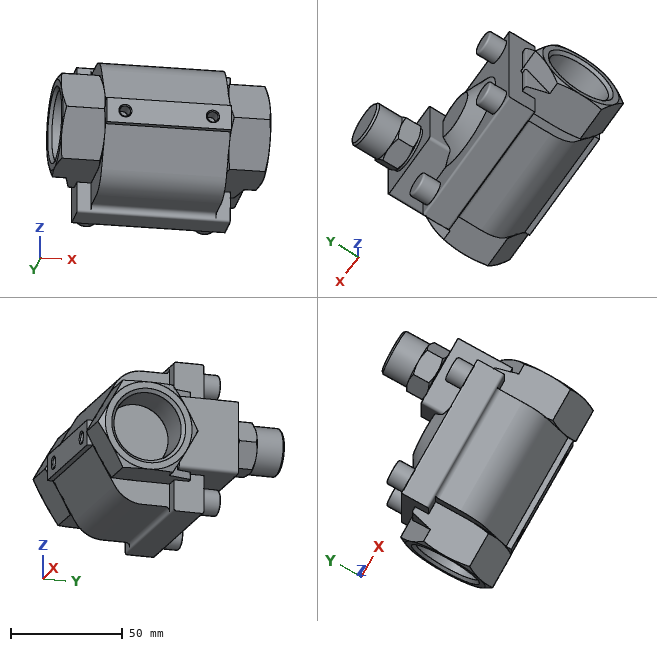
import cadquery as cq
import math

LENGTH = 95.0
CENTRE_X = 0.6

HEX_FLATS = 41.0
HEX_CHAMFER = 1.1

BODY_LENGTH = 57.0
BODY_HALF_HEIGHT = 31.35
BODY_ROUND = 15.0
BODY_FILLET = 2.0

PAD_WIDTH = 11.7
PAD_Y = -23.0
PAD_HOLE_SPACING = 40.0
PAD_HOLE_DIAMETER = 4.9
PAD_HOLE_MOUTH = 6.0
PAD_HOLE_DEPTH = 7.6
DRILL_POINT_ANGLE = 118.0

FLANGE_SIZE = 70.0
FLANGE_Y = 16.0
FLANGE_THICKNESS = 14.1
FLANGE_ROUND = 1.0

NECK_LENGTH = 75.6
NECK_TOP_Y = 22.9
NECK_SLOPE = 15.0
NECK_ROUND = 1.0

BORE_DIAMETER = 31.8
BORE_END_DIAMETER = 30.6
BORE_MOUTH_DIAMETER = 35.0
BORE_DEPTH = 18.6

BOLT_DIAMETER = 12.0
BOLT_SPACING = 54.0
BOLT_HEIGHT = 8.8
BOLT_ROUND = 0.95

DOME_TOP_RADIUS = 11.9
DOME_HEIGHT = 6.9
DOME_SLOPE = 30.0

BLOCK_SIZE = 34.2
BLOCK_X = 25.9
BLOCK_TOP_Y = 44.0
BLOCK_ROUND = 1.5

PORT_DIAMETER = 22.0
COLLAR_HEIGHT = 1.0
NUT_FLATS = 22.0
NUT_HEIGHT = 9.9
NUT_CHAMFER_ANGLE = 30.0
PORT_TOP_Y = 68.0
PORT_CHAMFER = 0.95

HEX_HALF_ANGLE = math.radians(30)
HEX_RADIUS = HEX_FLATS / 2
HEX_CORNER = HEX_RADIUS / math.cos(HEX_HALF_ANGLE)
BODY_START = CENTRE_X - BODY_LENGTH / 2
BODY_END = CENTRE_X + BODY_LENGTH / 2
FLANGE_TOP_Y = FLANGE_Y + FLANGE_THICKNESS


def round_bar(diameter, x, z, y_start, y_end):
    """Cylinder along +Y."""
    plane = cq.Plane(origin=(x, y_start, z), xDir=(1, 0, 0), normal=(0, 1, 0))
    return cq.Workplane(plane).circle(diameter / 2).extrude(y_end - y_start)


def chamfered_hexagon(flats, length, chamfer):
    """Hexagonal bar along +Z from Z = 0, corners on the X axis, both ends turned to a cone."""
    corner = flats / 2 / math.cos(HEX_HALF_ANGLE)
    bar = cq.Workplane("XY").polygon(6, 2 * corner).extrude(length)
    turned_envelope = (
        cq.Workplane("XZ")
        .polyline([
            (0, 0),
            (flats / 2, 0),
            (corner, chamfer),
            (corner, length - chamfer),
            (flats / 2, length),
            (0, length),
        ])
        .close()
        .revolve(360, (0, 0, 0), (0, 1, 0))
    )
    return bar.intersect(turned_envelope)


def pipe_end(x_start, x_end):
    """Hexagon along X with two flats facing +Z and -Z."""
    hexagon = chamfered_hexagon(HEX_FLATS, x_end - x_start, HEX_CHAMFER)
    return (
        hexagon.rotate((0, 0, 0), (0, 0, 1), 90)
        .rotate((0, 0, 0), (0, 1, 0), 90)
        .translate((x_start, 0, 0))
    )


def body():
    """Body section in YZ: slanted flats in line with the hexagons, blended to top and bottom."""
    normal_y = -math.cos(HEX_HALF_ANGLE)
    normal_z = math.sin(HEX_HALF_ANGLE)

    def flat_y(z):
        return (HEX_RADIUS - normal_z * z) / normal_y

    arc_z = BODY_HALF_HEIGHT - BODY_ROUND
    slant_end_z = arc_z + BODY_ROUND * normal_z
    slant_end_y = flat_y(slant_end_z)
    arc_y = slant_end_y - BODY_ROUND * normal_y
    mid_angle = math.radians(120)
    arc_mid = (arc_y + BODY_ROUND * math.cos(mid_angle), arc_z + BODY_ROUND * math.sin(mid_angle))
    fillet_y = FLANGE_Y - BODY_FILLET
    fillet_z = BODY_HALF_HEIGHT + BODY_FILLET
    fillet_reach = BODY_FILLET * math.sqrt(0.5)
    half = (
        cq.Workplane("YZ", origin=(BODY_START, 0, 0))
        .moveTo(FLANGE_Y, 0)
        .lineTo(FLANGE_Y, fillet_z)
        .threePointArc(
            (fillet_y + fillet_reach, fillet_z - fillet_reach),
            (fillet_y, BODY_HALF_HEIGHT),
        )
        .lineTo(arc_y, BODY_HALF_HEIGHT)
        .threePointArc(arc_mid, (slant_end_y, slant_end_z))
        .lineTo(flat_y(PAD_WIDTH / 2), PAD_WIDTH / 2)
        .lineTo(PAD_Y, PAD_WIDTH / 2)
        .lineTo(PAD_Y, 0)
        .close()
        .extrude(BODY_LENGTH)
    )
    return half.union(half.mirror("XY"))


def flange():
    return (
        cq.Workplane("XY")
        .box(FLANGE_SIZE, FLANGE_THICKNESS, FLANGE_SIZE)
        .edges("|X")
        .fillet(FLANGE_ROUND)
        .translate((CENTRE_X, FLANGE_Y + FLANGE_THICKNESS / 2, 0))
    )


def neck():
    """Web with sloping ends, as high as the hexagons, that carries the flange out over them."""
    half_top = NECK_LENGTH / 2
    slope_foot_y = HEX_CORNER / 2
    half_bottom = half_top + (NECK_TOP_Y - slope_foot_y) * math.tan(math.radians(NECK_SLOPE))
    return (
        cq.Workplane("XY")
        .polyline([
            (CENTRE_X - half_top, NECK_TOP_Y),
            (CENTRE_X + half_top, NECK_TOP_Y),
            (CENTRE_X + half_bottom, slope_foot_y),
            (CENTRE_X + half_bottom, 0),
            (CENTRE_X - half_bottom, 0),
            (CENTRE_X - half_bottom, slope_foot_y),
        ])
        .close()
        .extrude(HEX_RADIUS, both=True)
        .edges("|Z and >Y")
        .fillet(NECK_ROUND)
    )


def dome():
    base_radius = DOME_TOP_RADIUS + DOME_HEIGHT / math.tan(math.radians(DOME_SLOPE))
    return (
        cq.Workplane("XY")
        .polyline([
            (0, FLANGE_TOP_Y),
            (base_radius, FLANGE_TOP_Y),
            (DOME_TOP_RADIUS, FLANGE_TOP_Y + DOME_HEIGHT),
            (0, FLANGE_TOP_Y + DOME_HEIGHT),
        ])
        .close()
        .revolve(360, (0, 0, 0), (0, 1, 0))
        .translate((CENTRE_X, 0, 0))
    )


def bolt_heads():
    heads = cq.Workplane("XY")
    for side_x in (-1, 1):
        for side_z in (-1, 1):
            x = CENTRE_X + side_x * BOLT_SPACING / 2
            z = side_z * BOLT_SPACING / 2
            head = round_bar(BOLT_DIAMETER, x, z, FLANGE_TOP_Y, FLANGE_TOP_Y + BOLT_HEIGHT)
            heads = heads.add(head.faces(">Y").edges().fillet(BOLT_ROUND))
    return heads.combine()


def port_block():
    height = BLOCK_TOP_Y - FLANGE_Y
    return (
        cq.Workplane("XY")
        .box(BLOCK_SIZE, height, BLOCK_SIZE)
        .edges("|Y")
        .fillet(BLOCK_ROUND)
        .translate((BLOCK_X, FLANGE_Y + height / 2, 0))
    )


def port():
    """Threaded stub with its hexagon nut, standing on the block."""
    stub = round_bar(PORT_DIAMETER, BLOCK_X, 0, BLOCK_TOP_Y, PORT_TOP_Y)
    stub = stub.faces(">Y").edges().chamfer(PORT_CHAMFER)
    corner = NUT_FLATS / 2 / math.cos(HEX_HALF_ANGLE)
    chamfer = (corner - NUT_FLATS / 2) * math.tan(math.radians(NUT_CHAMFER_ANGLE))
    nut = (
        chamfered_hexagon(NUT_FLATS, NUT_HEIGHT, chamfer)
        .rotate((0, 0, 0), (1, 0, 0), -90)
        .translate((BLOCK_X, BLOCK_TOP_Y + COLLAR_HEIGHT, 0))
    )
    return stub.union(nut)


def pipe_bore():
    """Tapered blind bore with a chamfered mouth, entering from the -X end."""
    mouth_x = -LENGTH / 2
    mouth_depth = (BORE_MOUTH_DIAMETER - BORE_DIAMETER) / 2
    return (
        cq.Workplane("XY")
        .polyline([
            (mouth_x, 0),
            (mouth_x, BORE_MOUTH_DIAMETER / 2),
            (mouth_x + mouth_depth, BORE_DIAMETER / 2),
            (mouth_x + BORE_DEPTH, BORE_END_DIAMETER / 2),
            (mouth_x + BORE_DEPTH, 0),
        ])
        .close()
        .revolve(360, (0, 0, 0), (1, 0, 0))
    )


def pad_hole(x):
    """Countersunk blind hole with a drill point, entering the pad along +Y."""
    radius = PAD_HOLE_DIAMETER / 2
    mouth_radius = PAD_HOLE_MOUTH / 2
    floor_y = PAD_Y + PAD_HOLE_DEPTH
    tip_y = floor_y + radius / math.tan(math.radians(DRILL_POINT_ANGLE / 2))
    return (
        cq.Workplane("XY")
        .polyline([
            (0, PAD_Y),
            (mouth_radius, PAD_Y),
            (radius, PAD_Y + mouth_radius - radius),
            (radius, floor_y),
            (0, tip_y),
        ])
        .close()
        .revolve(360, (0, 0, 0), (0, 1, 0))
        .translate((x, 0, 0))
    )


result = body()
for part in (
    pipe_end(-LENGTH / 2, BODY_START),
    pipe_end(BODY_END, LENGTH / 2),
    flange(),
    neck(),
    dome(),
    port_block(),
    port(),
    bolt_heads(),
):
    result = result.union(part)

bore = pipe_bore()
result = result.cut(bore).cut(bore.mirror("YZ"))
for side in (-1, 1):
    result = result.cut(pad_hole(CENTRE_X + side * PAD_HOLE_SPACING / 2))